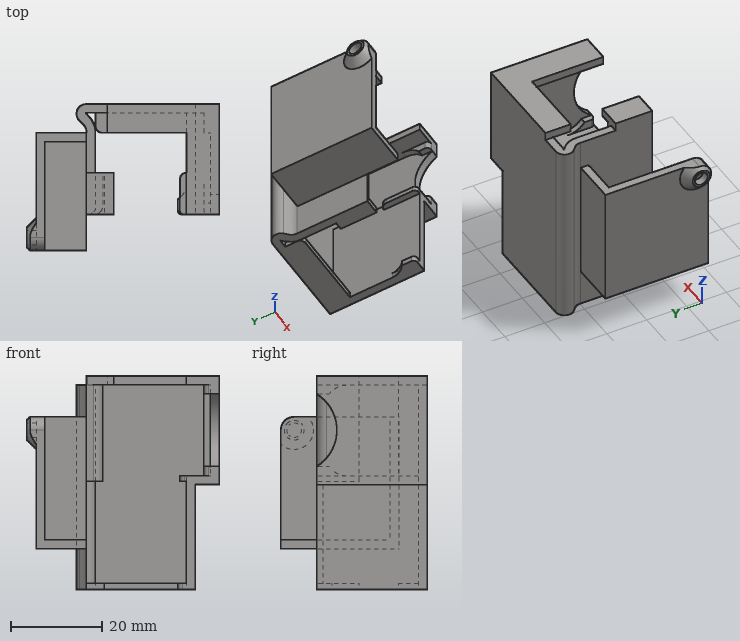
import cadquery as cq
import math

height = 46.8
back_y = 24.25
right_x = 29.1
wall = 1.95
thin_plate = 1.45
ceiling_z = height - wall

lower_right_x = 23.85
lower_inner_x = lower_right_x - wall
upper_inner_x = right_x - wall
back_inner_y = back_y - wall
shelf_z = 23.0
shelf_top_z = shelf_z + wall
strip_y = 17.92
top_plate_x = 4.6
bottom_corner_radius = 1.45

bend_radius = 2.2
bend_end_x = -1.6
bend_end_y = 20.6
hinge_straight_y = 18.1
bend_inner_middle = (1.2, 20.7)
bend_inner_tip = (-0.2, back_inner_y)

latch_depth = 9.2
top_latch_x = 6.0
bottom_latch_x = 3.9
pad_z = 23.7
pad_x = 3.55
rim_x = 1.45
pad_radius = pad_x - rim_x
ledge = 1.45
bottom_catch = 1.9
catch_front_radius = 1.0
bottom_catch_full_y = 3.35
bottom_catch_end_y = 7.1
upper_catch_full_y = 2.6
upper_catch_end_y = 6.8

cutout_chord = 15.85
cutout_depth = 4.45
cutout_z = 34.9

cover_x = -11.05
cover_front_y = -7.85
cover_back_y = 17.95
cover_bottom_z = 8.95
cover_top_z = 37.85
cover_corner_radius = 2.9

boss_height = 2.05
boss_tip_radius = 2.15
boss_hole_diameter = 3.2


def box(x0, x1, y0, y1, z0, z1):
    """Axis-aligned block between the given limits."""
    return cq.Workplane("XY").box(x1 - x0, y1 - y0, z1 - z0, centered=False).translate((x0, y0, z0))


def make_catch(plane, rise, full_y, end_y, thickness):
    """Catch whose crest sweeps down to its root in a concave arc tangent to the root face.

    The local x of the plane points from the root to the crest, and its local y points backwards.
    """
    run = end_y - full_y
    arc_radius = (run**2 + rise**2) / (2 * rise)
    half_angle = math.asin(run / arc_radius) / 2
    arc_middle = (arc_radius * (1 - math.cos(half_angle)), end_y - arc_radius * math.sin(half_angle))
    return (
        cq.Workplane(plane)
        .lineTo(rise, 0)
        .lineTo(rise, full_y)
        .threePointArc(arc_middle, (0, end_y))
        .close()
        .extrude(thickness)
    )


def make_shell():
    """Back wall, stepped right wall, shelf and the top and bottom plates."""
    shell = box(0, lower_right_x, back_inner_y, back_y, 0, ceiling_z)
    shell = shell.union(box(lower_inner_x, right_x, back_inner_y, back_y, shelf_z, height))
    shell = shell.union(box(lower_inner_x, lower_right_x, 0, back_y, 0, shelf_top_z))
    shell = shell.union(box(upper_inner_x, right_x, 0, back_y, shelf_z, height))
    shell = shell.union(box(lower_inner_x, right_x, 0, back_y, shelf_z, shelf_top_z))
    shell = shell.union(box(lower_inner_x, right_x, 0, back_y, ceiling_z, height))
    shell = shell.union(box(top_plate_x, right_x, strip_y, back_y, ceiling_z, height))
    bottom_strip = box(wall, lower_right_x, strip_y, back_y, 0, thin_plate)
    shell = shell.union(bottom_strip.edges("|Z and <X and <Y").fillet(bottom_corner_radius))
    corner_ledge = box(upper_inner_x - ledge, upper_inner_x, strip_y, back_y, shelf_z, height)
    return shell.union(corner_ledge)


def make_hinge_wall():
    """Left wall with a rounded front edge and an S bend into the back wall."""
    arc_half_angle = math.asin(wall / pad_radius) / 2
    front_arc_middle = (
        pad_radius * math.sin(arc_half_angle),
        pad_radius * (1 - math.cos(arc_half_angle)),
    )
    front_arc_end = (wall, pad_radius * (1 - math.cos(2 * arc_half_angle)))
    return (
        cq.Workplane("XY")
        .threePointArc(front_arc_middle, front_arc_end)
        .lineTo(wall, hinge_straight_y)
        .spline([bend_inner_middle, bend_inner_tip], tangents=[(0, 1), (-1, 1)], includeCurrent=True)
        .lineTo(wall, back_inner_y)
        .lineTo(wall, back_y)
        .lineTo(0, back_y)
        .threePointArc((-bend_radius, back_y - bend_radius), (bend_end_x, bend_end_y))
        .spline([(0, hinge_straight_y)], tangents=[(1, -1), (0, -1)], includeCurrent=True)
        .close()
        .extrude(ceiling_z)
    )


def make_latches():
    """Top and bottom latch plates and the thick rounded pad between them."""
    pad = box(0, pad_x, 0, latch_depth, pad_z, ceiling_z).edges("|Z and >X and <Y").fillet(pad_radius)
    top_latch = box(0, top_latch_x, 0, latch_depth, ceiling_z, height)
    bottom_latch = box(0, bottom_latch_x, 0, latch_depth, 0, thin_plate)
    return pad.union(top_latch).union(bottom_latch)


def make_catches():
    """Shelf tab and the catches along the open front of the right wall."""
    shelf_tab = box(lower_inner_x - ledge, lower_inner_x + wall / 2, 0, latch_depth, pad_z, shelf_top_z)
    shelf_tab = shelf_tab.edges("|Z and <X and >Y").fillet(ledge)
    shelf_tab = shelf_tab.edges("|Z and <X and <Y").fillet(catch_front_radius)
    bottom_plane = cq.Plane(origin=(lower_inner_x, 0, thin_plate), xDir=(-1, 0, 0), normal=(0, 0, -1))
    bottom = make_catch(bottom_plane, bottom_catch, bottom_catch_full_y, bottom_catch_end_y, thin_plate)
    catches = shelf_tab.union(bottom.edges("|Z and <X and <Y").fillet(catch_front_radius))
    half_chord = cutout_chord / 2
    lower_rise = cutout_z - half_chord - shelf_top_z
    upper_rise = ceiling_z - cutout_z - half_chord
    catch_x = upper_inner_x - ledge
    lower_plane = cq.Plane(origin=(upper_inner_x, 0, shelf_top_z), xDir=(0, 0, 1), normal=(-1, 0, 0))
    upper_plane = cq.Plane(origin=(catch_x, 0, ceiling_z), xDir=(0, 0, -1), normal=(1, 0, 0))
    for plane, rise in ((lower_plane, lower_rise), (upper_plane, upper_rise)):
        catch = make_catch(plane, rise, upper_catch_full_y, upper_catch_end_y, ledge)
        catches = catches.union(catch.edges("|Z and <X and <Y").fillet(catch_front_radius))
    return catches


def make_finger_cutout():
    """Circular-segment cutter for the front edge of the right wall."""
    half_chord = cutout_chord / 2
    return (
        cq.Workplane("YZ", origin=(upper_inner_x, 0, 0))
        .moveTo(0, cutout_z - half_chord)
        .threePointArc((cutout_depth, cutout_z), (0, cutout_z + half_chord))
        .close()
        .extrude(wall)
    )


def make_cover():
    """Open-topped side cover with a hollow conical boss at its rounded corner."""
    boss_tip_x = cover_x - boss_height
    inner_x = cover_x + wall
    left_wall = box(boss_tip_x, inner_x, cover_front_y, cover_back_y, cover_bottom_z, cover_top_z)
    left_wall = left_wall.edges("|X and <Y and >Z").fillet(cover_corner_radius)
    floor = box(cover_x, 0, cover_front_y, cover_back_y, cover_bottom_z, cover_bottom_z + wall)
    back = box(cover_x, 0, cover_back_y - wall, cover_back_y, cover_bottom_z, cover_top_z)
    plate_limits = box(cover_x, inner_x, cover_front_y, cover_back_y, cover_bottom_z, cover_top_z)
    boss_center = (cover_x, cover_front_y + cover_corner_radius, cover_top_z - cover_corner_radius)
    boss_base_radius = boss_tip_radius + boss_height
    cone = cq.Workplane("YZ", origin=boss_center).circle(boss_base_radius)
    cone = cone.workplane(offset=-boss_height).circle(boss_tip_radius).loft()
    hole = cq.Workplane("YZ", origin=boss_center).circle(boss_hole_diameter / 2).extrude(-boss_height)
    plate_and_boss = left_wall.intersect(plate_limits.union(cone)).cut(hole)
    return plate_and_boss.union(floor).union(back)


body = make_shell().union(make_hinge_wall()).union(make_latches()).union(make_catches())
result = body.cut(make_finger_cutout()).union(make_cover())